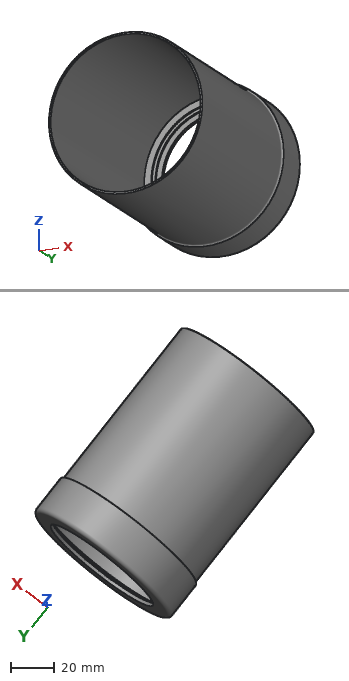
import cadquery as cq

length = 110.0
collar_diameter = 80.0
collar_radius = collar_diameter / 2
collar_length = 20.0
wall = 1.0
tube_radius = collar_radius - wall
bore_radius = tube_radius - wall
root_fillet = wall
rim_fillet = 2.0

step_outer_radius = 34.5
step_inner_radius = 32.9
opening_radius = 30.0
lip_thickness = 4.0
step_depth = 1.0

collar_start = length - collar_length
lip_start = length - lip_thickness


def cylinder(radius, start, end):
    """Solid cylinder on the Y axis between two Y positions."""
    plane = cq.Workplane("XZ", origin=(0, start, 0))
    return plane.circle(radius).extrude(start - end)


def outer_body():
    """Tube and collar, with the rim rounded and a concave fillet at the collar root."""
    profile = (
        cq.Workplane("XY")
        .lineTo(tube_radius, 0)
        .lineTo(tube_radius, collar_start - root_fillet)
        .radiusArc((collar_radius, collar_start), root_fillet)
        .lineTo(collar_radius, length - rim_fillet)
        .radiusArc((collar_radius - rim_fillet, length), -rim_fillet)
        .lineTo(0, length)
        .close()
    )
    return profile.revolve(360, (0, 0, 0), (0, 1, 0))


result = (
    outer_body()
    .cut(cylinder(bore_radius, 0, lip_start))
    .cut(cylinder(step_outer_radius, lip_start, lip_start + step_depth))
    .cut(cylinder(step_inner_radius, lip_start, lip_start + 2 * step_depth))
    .cut(cylinder(opening_radius, lip_start, length))
)